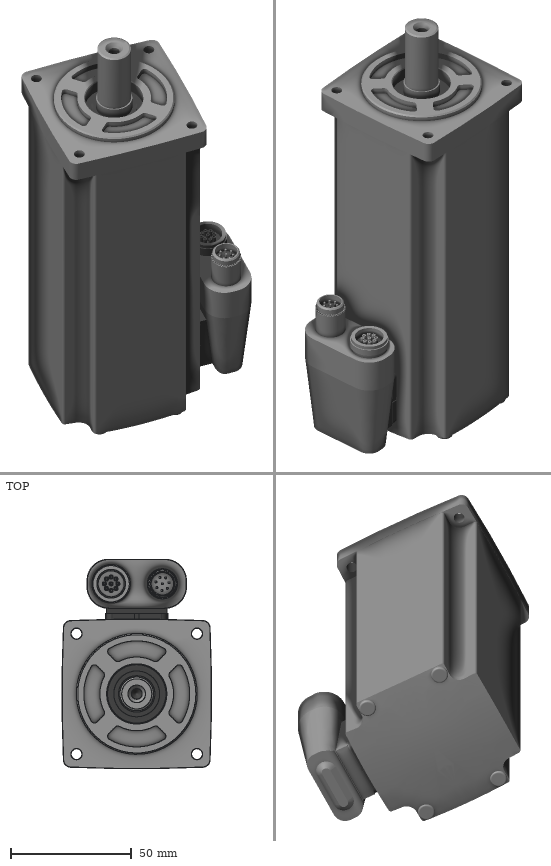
import cadquery as cq
import math


total_height = 185.8
total_depth = 86.5
shaft_length = 27.5
pilot_height = 2.5
flange_thickness = 9.0
pilot_top = total_height - shaft_length
flange_top = pilot_top - pilot_height
flange_bottom = flange_top - flange_thickness

flange_width = 61.9
half_width = flange_width / 2
body_half_width = 30.8
face_bulge = 0.7
corner_radius = 3.2
bolt_offset = 24.9
bolt_hole_diameter = 4.5
notch_radius = 4.5
notch_edge_radius = 1.1
dome_radius = 219.2

screw_head_diameter = 7.0
screw_head_edge_radius = 0.7
screw_head_bottom = 1.3
screw_head_height = 5.5
screw_x = 26.8
screw_y = 16.7

pilot_diameter = 50.0
pilot_chamfer = 0.5
seal_bore_diameter = 24.2
seal_bore_chamfer = 0.4
seal_bore_depth = 5.5
seal_diameter = 19.0
seal_height = 0.5
pocket_outer_radius = 22.0
pocket_inner_radius = 15.2
pocket_web_width = 6.9
pocket_corner_radius = 1.5
pocket_depth = 2.6

shaft_diameter = 14.0
shaft_chamfer_height = 0.4
shaft_chamfer_width = 0.7
shoulder_diameter = 15.0
center_cone_diameter = 7.2
center_cone_depth = 1.9
center_bore_diameter = 4.5
center_bore_depth = 9.3

housing_width = 41.0
housing_depth = 20.3
housing_corner_radius = 9.0
housing_back = total_depth - half_width
housing_y = housing_back - housing_depth / 2
housing_top = 53.0
housing_taper_top = 38.8
housing_bottom = 4.5
housing_inset = 3.7
housing_toe_radius = 3.3
housing_cap_width = 24.2
housing_cap_depth = 8.5
housing_cap_height = 1.7
housing_cap_taper = 55

neck_width = 25.0
neck_plate_width = 25.6
neck_z = 20.8
neck_plate_back = 33.3
neck_plate_radius = 2.6
plate_slot_width = 1.7
plate_slot_depth = 0.4

connector_spacing = 21.2
power_core_diameter = 14.9
power_ring_diameter = 16.0
power_collar_diameter = 15.0
power_ring_bottom = 54.6
power_ring_top = 57.4
power_top = 58.9
power_bore_diameter = 11.9
power_bore_depth = 4.5
power_insert_diameter = 10.8
power_insert_height = 1.1
power_pin_circle = 5.5
power_pin_diameter = 1.65
power_pin_bore = 0.8
power_pin_count = 8
signal_diameter = 12.5
signal_ledge = 64.1
signal_rim_diameter = 11.3
signal_top = 66.9
signal_rim_chamfer = 0.5
signal_bore_diameter = 9.3
signal_bore_depth = 4.0
signal_pin_circle = 5.5
signal_pin_diameter = 0.8
signal_pin_count = 7
signal_pin_start_angle = 9.0
pin_length = 2.6
ledge_notch_count = 36
ledge_notch_width = 0.5
ledge_notch_depth = 0.5


def cylinder(diameter, bottom, top, x=0, y=0):
    """Upright cylinder between two heights."""
    return cq.Workplane("XY", origin=(x, y, bottom)).circle(diameter / 2).extrude(top - bottom)


def motor_prism(middle, bottom, top):
    """Square prism with rounded corners whose sides bulge out to `middle` from the Z axis."""
    corner = middle - face_bulge
    return (
        cq.Workplane("XY", origin=(0, 0, bottom))
        .moveTo(-corner, -corner)
        .threePointArc((0, -middle), (corner, -corner))
        .threePointArc((middle, 0), (corner, corner))
        .threePointArc((0, middle), (-corner, corner))
        .threePointArc((-middle, 0), (-corner, -corner))
        .close()
        .extrude(top - bottom)
        .edges("|Z")
        .fillet(corner_radius)
    )


def corner_notch(sx, sy):
    """Square notch with a rounded inner corner that clears a flange bolt."""
    size = 2 * notch_radius + half_width - bolt_offset
    wall = bolt_offset - notch_radius
    return (
        cq.Workplane("XY")
        .center(sx * (wall + size / 2), sy * (wall + size / 2))
        .rect(size, size)
        .extrude(flange_bottom)
        .edges("|Z")
        .edges(cq.selectors.NearestToPointSelector((sx * wall, sy * wall, flange_bottom / 2)))
        .fillet(notch_radius)
    )


def make_body():
    """Long motor body with four corner notches and a domed underside."""
    body = motor_prism(body_half_width, 0, flange_bottom)
    corner_limit = half_width - corner_radius
    for sx in (-1, 1):
        for sy in (-1, 1):
            body = body.cut(corner_notch(sx, sy))

    def on_outer_face(edge):
        center = edge.Center()
        return max(abs(center.x), abs(center.y)) > corner_limit

    body = body.edges("|Z").filter(on_outer_face).fillet(notch_edge_radius)
    dome = cq.Workplane("XY", origin=(0, 0, dome_radius)).sphere(dome_radius)
    return body.intersect(dome)


def make_screw_heads():
    """Four rounded screw heads that stand out of the domed underside."""
    corners = [(sx * screw_x, sy * screw_y) for sx in (-1, 1) for sy in (-1, 1)]
    return (
        cq.Workplane("XY", origin=(0, 0, screw_head_bottom))
        .pushPoints(corners)
        .circle(screw_head_diameter / 2)
        .extrude(screw_head_height)
        .faces("<Z")
        .edges()
        .fillet(screw_head_edge_radius)
    )


def make_pockets():
    """Four kidney pockets separated by two diagonal webs."""
    floor = pilot_top - pocket_depth
    ring = (
        cq.Workplane("XY", origin=(0, 0, floor))
        .circle(pocket_outer_radius)
        .circle(pocket_inner_radius)
        .extrude(pocket_depth)
    )
    for angle in (45, 135):
        web = (
            cq.Workplane("XY", origin=(0, 0, floor))
            .rect(pilot_diameter, pocket_web_width)
            .extrude(pocket_depth)
            .rotate((0, 0, 0), (0, 0, 1), angle)
        )
        ring = ring.cut(web)
    return ring.edges("|Z").fillet(pocket_corner_radius)


def make_flange():
    """Mounting flange with pilot, seal bore, kidney pockets and bolt holes."""
    pilot = cylinder(pilot_diameter, flange_top, pilot_top).faces(">Z").edges().chamfer(pilot_chamfer)
    flange = motor_prism(half_width, flange_bottom, flange_top)
    bolt_pitch = 2 * bolt_offset
    bolt_pattern = flange.faces(">Z").workplane().rect(bolt_pitch, bolt_pitch, forConstruction=True)
    flange = bolt_pattern.vertices().hole(bolt_hole_diameter)
    seal_floor = pilot_top - seal_bore_depth
    flange = flange.union(pilot).cut(cylinder(seal_bore_diameter, seal_floor, pilot_top))
    flange = flange.faces(">Z").edges(cq.selectors.RadiusNthSelector(0)).chamfer(seal_bore_chamfer)
    flange = flange.cut(make_pockets())
    return flange.union(cylinder(seal_diameter, seal_floor, seal_floor + seal_height))


def make_shaft():
    """Shaft with a shoulder and a countersunk centre hole in its end."""
    shaft = cylinder(shaft_diameter, flange_bottom, total_height)
    shaft = shaft.faces(">Z").edges().chamfer(shaft_chamfer_height, shaft_chamfer_width)
    shaft = shaft.union(cylinder(shoulder_diameter, flange_bottom, pilot_top))
    bore_top = total_height - center_cone_depth
    bore_bottom = bore_top - center_bore_depth
    bore_radius = center_bore_diameter / 2
    center_hole = (
        cq.Workplane("XZ")
        .moveTo(0, total_height)
        .lineTo(center_cone_diameter / 2, total_height)
        .lineTo(bore_radius, bore_top)
        .lineTo(bore_radius, bore_bottom)
        .lineTo(0, bore_bottom - bore_radius)
        .close()
        .revolve()
    )
    return shaft.cut(center_hole)


def make_toe_trim():
    """Waste that leaves the lower front edge of the housing rounded."""
    toe_start = housing_y - housing_depth / 2 + housing_inset
    reach = housing_toe_radius * math.sqrt(0.5)
    toe_y = toe_start + housing_toe_radius
    toe_z = housing_bottom + housing_toe_radius
    return (
        cq.Workplane("YZ", origin=(-housing_width / 2, 0, 0))
        .moveTo(toe_start, toe_z)
        .threePointArc((toe_y - reach, toe_z - reach), (toe_y, housing_bottom))
        .lineTo(toe_start - housing_inset, housing_bottom)
        .lineTo(toe_start - housing_inset, toe_z)
        .close()
        .extrude(housing_width)
    )


def make_housing():
    """Rounded connector housing that tapers towards its lower end."""
    straight = (
        cq.Workplane("XY", origin=(0, housing_y, housing_taper_top))
        .rect(housing_width, housing_depth)
        .extrude(housing_top - housing_taper_top)
        .edges("|Z")
        .fillet(housing_corner_radius)
    )
    taper_length = housing_taper_top - housing_bottom
    taper_angle = math.degrees(math.atan(housing_inset / taper_length))
    taper_start = straight.faces("<Z").wires().toPending().workplane()
    taper = taper_start.extrude(taper_length, taper=taper_angle, combine=False)
    cap = (
        cq.Workplane("XY", origin=(0, housing_y, housing_bottom))
        .slot2D(housing_cap_width, housing_cap_depth)
        .extrude(-housing_cap_height, taper=housing_cap_taper)
    )
    return straight.union(taper).cut(make_toe_trim()).union(cap)


def make_neck():
    """Square neck and rounded plate that carry the housing on the motor."""
    on_axis = (True, False, True)
    neck_length = housing_y - neck_plate_back
    neck = cq.Workplane("XY").box(neck_width, neck_length, neck_width, centered=on_axis)
    neck = neck.translate((0, neck_plate_back, neck_z))
    plate_front = half_width - 2 * face_bulge
    plate = (
        cq.Workplane("XY")
        .box(neck_plate_width, neck_plate_back - plate_front, neck_plate_width, centered=on_axis)
        .edges("|Y")
        .fillet(neck_plate_radius)
    )
    slot_floor_width = neck_plate_width - 2 * plate_slot_depth
    slot_length = 2 * neck_plate_back
    core = cq.Workplane("XY").box(slot_floor_width, slot_length, slot_floor_width)
    bar = cq.Workplane("XY").box(plate_slot_width, slot_length, neck_plate_width)
    for angle in (0, 90):
        plate = plate.cut(bar.rotate((0, 0, 0), (0, 1, 0), angle).cut(core))
    return neck.union(plate.translate((0, plate_front, neck_z)))


def make_pins(x, floor, diameter, circle_diameter, count, start_angle=0):
    """One centre pin and a circle of pins (or their bores) standing on a connector floor."""
    pins = cylinder(diameter, floor, floor + pin_length, x, housing_y)
    for i in range(count):
        angle = math.radians(start_angle + i * 360 / count)
        pin_x = x + circle_diameter / 2 * math.cos(angle)
        pin_y = housing_y + circle_diameter / 2 * math.sin(angle)
        pins = pins.union(cylinder(diameter, floor, floor + pin_length, pin_x, pin_y))
    return pins


def make_power_connector():
    """Short, wide socket with a raised ring."""
    x = -connector_spacing / 2
    body = cylinder(power_core_diameter, housing_top, power_ring_bottom, x, housing_y)
    body = body.union(cylinder(power_ring_diameter, power_ring_bottom, power_ring_top, x, housing_y))
    body = body.union(cylinder(power_collar_diameter, power_ring_top, power_top, x, housing_y))
    floor = power_top - power_bore_depth
    body = body.cut(cylinder(power_bore_diameter, floor, power_top, x, housing_y))
    insert_top = floor + power_insert_height
    body = body.union(cylinder(power_insert_diameter, floor, insert_top, x, housing_y))
    pins = make_pins(x, insert_top, power_pin_diameter, power_pin_circle, power_pin_count)
    bores = make_pins(x, insert_top, power_pin_bore, power_pin_circle, power_pin_count)
    return body.union(pins).cut(bores)


def make_signal_connector():
    """Taller, narrow socket with a notched ledge below its rim."""
    x = connector_spacing / 2
    body = cylinder(signal_diameter, housing_top, signal_ledge, x, housing_y)
    notch = cq.Workplane("XY").box(signal_diameter, ledge_notch_width, 2 * ledge_notch_depth)
    for i in range(ledge_notch_count // 2):
        turned = notch.rotate((0, 0, 0), (0, 0, 1), i * 360 / ledge_notch_count)
        body = body.cut(turned.translate((x, housing_y, signal_ledge)))
    rim_bottom = signal_ledge - ledge_notch_depth
    rim = cylinder(signal_rim_diameter, rim_bottom, signal_top, x, housing_y)
    body = body.union(rim.faces(">Z").edges().chamfer(signal_rim_chamfer))
    floor = signal_top - signal_bore_depth
    body = body.cut(cylinder(signal_bore_diameter, floor, signal_top, x, housing_y))
    pins = make_pins(
        x, floor, signal_pin_diameter, signal_pin_circle, signal_pin_count, signal_pin_start_angle
    )
    return body.union(pins)


result = (
    make_body()
    .union(make_screw_heads())
    .union(make_flange())
    .union(make_shaft())
    .union(make_housing())
    .union(make_neck())
    .union(make_power_connector())
    .union(make_signal_connector())
)